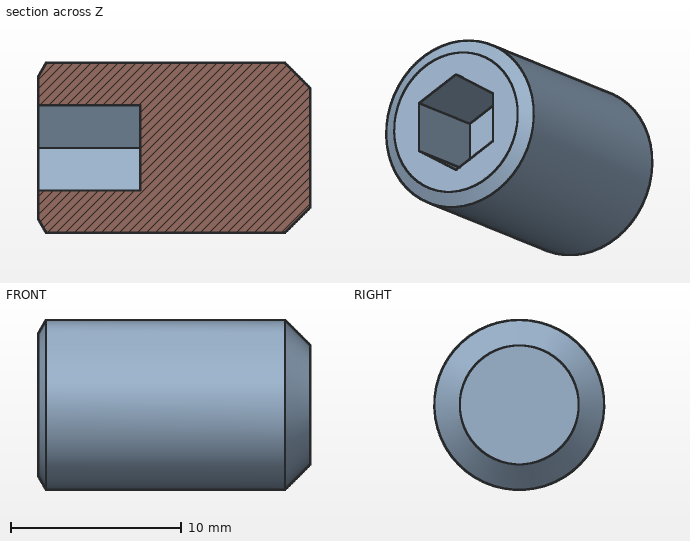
import cadquery as cq
import math

length = 16.0
diameter = 10.0
socket_face_diameter = 8.37
socket_chamfer_angle = 30.0
point_chamfer = 1.5
hex_across_flats = 5.0
hex_depth = 6.0

radius = diameter / 2
socket_face_radius = socket_face_diameter / 2
socket_chamfer_length = (radius - socket_face_radius) * math.tan(math.radians(socket_chamfer_angle))
hex_across_corners = hex_across_flats / math.cos(math.radians(30))


def make_body():
    """Revolve the half profile, both end chamfers included, about the X axis."""
    return (
        cq.Workplane("XZ")
        .moveTo(0, 0)
        .lineTo(0, socket_face_radius)
        .lineTo(socket_chamfer_length, radius)
        .lineTo(length - point_chamfer, radius)
        .lineTo(length, radius - point_chamfer)
        .lineTo(length, 0)
        .close()
        .revolve(360, (0, 0, 0), (1, 0, 0))
    )


def make_hex_socket():
    """Flat-bottomed hexagon with two of its corners on the Z direction."""
    return (
        cq.Workplane("YZ")
        .transformed(rotate=(0, 0, 90))
        .polygon(6, hex_across_corners)
        .extrude(hex_depth)
    )


result = make_body().cut(make_hex_socket())